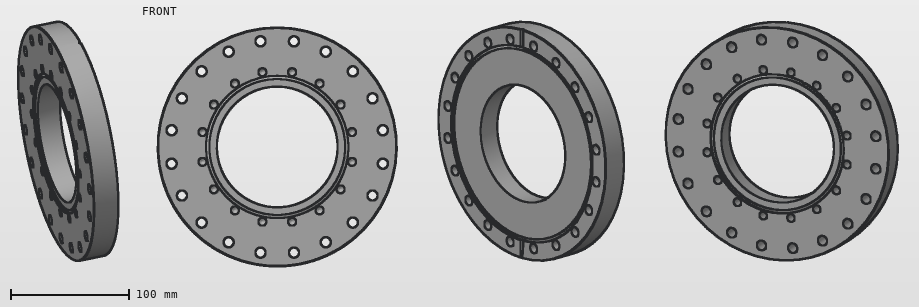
import math

import cadquery as cq

flange_diameter = 202.4
thickness = 22.3
bore_diameter = 102.0
rim_chamfer = 0.5

bolt_count = 20
bolt_circle_diameter = 181.0
bolt_hole_diameter = 8.4

blind_count = 16
blind_circle_diameter = 129.0
blind_hole_diameter = 6.8
blind_hole_depth = 16.0
drill_point_angle = 118.0

hole_clearance = 0.8
front_recess_diameter = blind_circle_diameter - blind_hole_diameter - 2 * hole_clearance
back_recess_diameter = bolt_circle_diameter - bolt_hole_diameter - 2 * hole_clearance
knife_slope_width = 2.8
knife_slope_angle = 20.0
knife_tip_depth = 0.6
seat_depth = 1.2

groove_diameter = 3.0


def revolve_around_y(points):
    """Revolve a closed outline of (y, radius) points about the Y axis."""
    return cq.Workplane("YZ").polyline(points).close().revolve(360, (0, 0, 0), (1, 0, 0))


def make_ring():
    """Plain ring with chamfered rim edges; its front face lies at y = 0."""
    outer = flange_diameter / 2
    bore = bore_diameter / 2
    return revolve_around_y([
        (0, bore),
        (0, outer - rim_chamfer),
        (rim_chamfer, outer),
        (thickness - rim_chamfer, outer),
        (thickness, outer - rim_chamfer),
        (thickness, bore),
    ])


def make_seal_cutter(recess_diameter):
    """Recess in the front face: a flat seat, a knife edge and a slope falling away to the wall."""
    recess = recess_diameter / 2
    knife = recess - knife_slope_width
    slope_drop = knife_slope_width * math.tan(math.radians(knife_slope_angle))
    return revolve_around_y([
        (0, 0),
        (0, recess),
        (knife_tip_depth + slope_drop, recess),
        (knife_tip_depth, knife),
        (seat_depth, knife),
        (seat_depth, 0),
    ])


def cut_leak_grooves(body):
    """Cut two opposite radial grooves in the back face, from the back recess out past the rim."""
    groove_radius = groove_diameter / 2
    start = math.sqrt((back_recess_diameter / 2) ** 2 - groove_radius ** 2)
    end = flange_diameter / 2 + groove_diameter
    bar = (
        cq.Workplane("XY", origin=(0, thickness, start))
        .circle(groove_radius)
        .extrude(end - start)
    )
    return body.cut(bar).cut(bar.mirror("XY"))


def make_bolt_cutter():
    """Cylinder through the full thickness."""
    radius = bolt_hole_diameter / 2
    return revolve_around_y([(0, 0), (0, radius), (thickness, radius), (thickness, 0)])


def make_blind_cutter():
    """Drilled hole from the front face, with a conical bottom."""
    radius = blind_hole_diameter / 2
    point_length = radius / math.tan(math.radians(drill_point_angle / 2))
    return revolve_around_y([
        (0, 0),
        (0, radius),
        (blind_hole_depth, radius),
        (blind_hole_depth + point_length, 0),
    ])


def cut_hole_ring(body, cutter, count, circle_diameter):
    """Cut equally spaced holes, with the top of the flange midway between two of them."""
    radius = circle_diameter / 2
    for index in range(count):
        angle = 2 * math.pi * (index + 0.5) / count
        body = body.cut(cutter.translate((radius * math.sin(angle), 0, radius * math.cos(angle))))
    return body


flange = make_ring()

front_seal = make_seal_cutter(front_recess_diameter)
back_seal = make_seal_cutter(back_recess_diameter).mirror("XZ").translate((0, thickness, 0))
flange = flange.cut(front_seal).cut(back_seal)
flange = cut_leak_grooves(flange)

flange = cut_hole_ring(flange, make_bolt_cutter(), bolt_count, bolt_circle_diameter)
flange = cut_hole_ring(flange, make_blind_cutter(), blind_count, blind_circle_diameter)

result = flange.translate((0, -thickness / 2, 0))